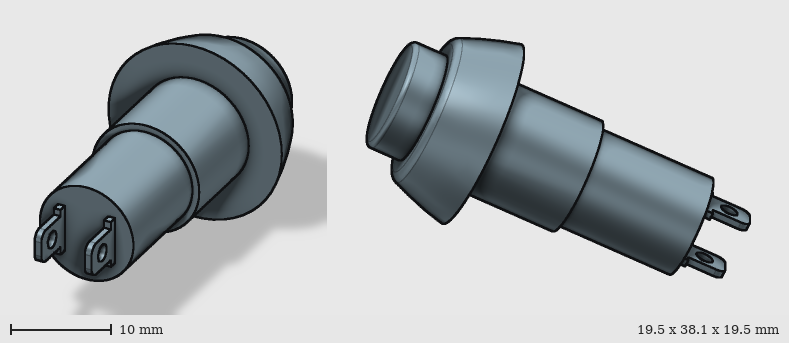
import cadquery as cq


total_length = 38.15
terminal_length = 5.0
rear_body_end = 17.5
bezel_back = 28.0
bezel_front = 34.55

rear_body_radius = 5.25
body_radius = 6.03
bezel_diameter = 19.5
bezel_radius = bezel_diameter / 2
bezel_front_radius = 7.6
cap_radius = 5.72

flank_mid_radius = 9.2
flank_mid_y = 30.15
bezel_fillet = 1.0
cap_fillet = 0.5

terminal_thickness = 0.75
terminal_offset = 2.82
blade_width = 3.55
blade_corner_radius = 1.0
shoulder_width = 5.1
shoulder_length = 0.9
shoulder_shift = 0.057
hole_diameter = 1.8
hole_y = 2.3


def cylinder(radius, y_start, y_end):
    """Solid cylinder on the Y axis between two stations."""
    plane = cq.Plane(origin=(0, y_start, 0), xDir=(1, 0, 0), normal=(0, 1, 0))
    return cq.Workplane(plane).circle(radius).extrude(y_end - y_start)


def make_bezel():
    """Domed bezel with a rounded front edge."""
    bezel = (
        cq.Workplane("XY")
        .moveTo(0, bezel_back)
        .lineTo(bezel_radius, bezel_back)
        .threePointArc((flank_mid_radius, flank_mid_y), (bezel_front_radius, bezel_front))
        .lineTo(0, bezel_front)
        .close()
        .revolve(360, (0, 0, 0), (0, 1, 0))
    )
    return bezel.faces(">Y").edges().fillet(bezel_fillet)


def make_terminal(side):
    """Blade with a hole and wider shoulder; side is -1 or +1 along X."""
    center_x = side * terminal_offset
    blade = (
        cq.Workplane("XY")
        .box(terminal_thickness, terminal_length, blade_width)
        .edges("|X and <Y")
        .fillet(blade_corner_radius)
        .translate((center_x, terminal_length / 2, 0))
    )
    shoulder = (
        cq.Workplane("XY")
        .box(terminal_thickness, shoulder_length, shoulder_width)
        .translate((center_x, terminal_length - shoulder_length / 2, side * shoulder_shift))
    )
    hole = (
        cq.Workplane("YZ", origin=(center_x, 0, 0))
        .center(hole_y, 0)
        .circle(hole_diameter / 2)
        .extrude(terminal_thickness, both=True)
    )
    return blade.union(shoulder).cut(hole)


cap = cylinder(cap_radius, bezel_back, total_length).faces(">Y").edges().fillet(cap_fillet)

result = cylinder(rear_body_radius, terminal_length, rear_body_end)
result = result.union(cylinder(body_radius, rear_body_end, bezel_back))
result = result.union(make_bezel()).union(cap)
for side in (-1, 1):
    result = result.union(make_terminal(side))